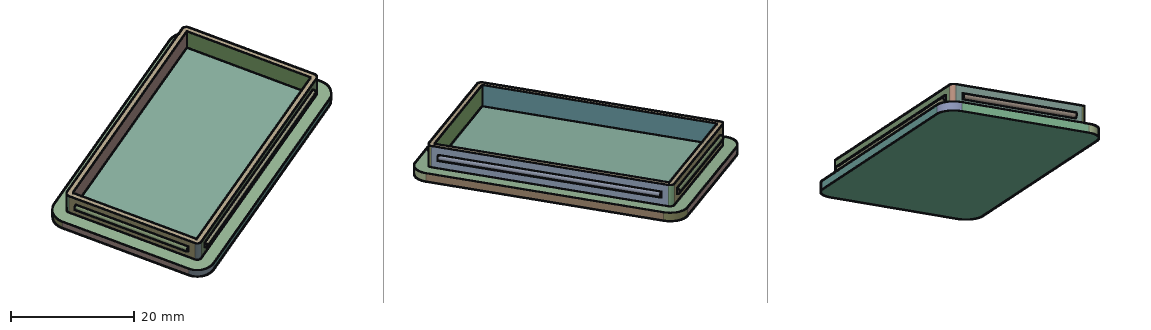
import cadquery as cq

flange_width = 29.1
flange_length = 47.1
flange_thickness = 1.55
flange_corner_radius = 3.0

total_height = 5.4
rim_width = 24.5
rim_length = 42.5
rim_corner_radius = 0.75
wall_thickness = 0.95

bead_radius = 0.5
bead_end_gap = 2.0

rim_height = total_height - flange_thickness
bead_height = flange_thickness + rim_height / 2


def rounded_plate(width, length, height, corner_radius, base):
    """Vertical-sided plate with rounded corners, standing at height `base`."""
    plate = cq.Workplane("XY").workplane(offset=base).rect(width, length).extrude(height)
    return plate.edges("|Z").fillet(corner_radius)


def bead_bar(plane, length, x, y):
    """Round bar of the given length centred on (x, y), along the normal of `plane`."""
    bar = cq.Workplane(plane, origin=(x, y, bead_height))
    return bar.circle(bead_radius).extrude(length / 2, both=True)


flange = rounded_plate(flange_width, flange_length, flange_thickness, flange_corner_radius, 0)
rim = rounded_plate(rim_width, rim_length, rim_height, rim_corner_radius, flange_thickness)
body = flange.union(rim)

for side in (-1, 1):
    body = body.union(bead_bar("XZ", rim_length - 2 * bead_end_gap, side * rim_width / 2, 0))
    body = body.union(bead_bar("YZ", rim_width - 2 * bead_end_gap, 0, side * rim_length / 2))

pocket = (
    cq.Workplane("XY")
    .workplane(offset=flange_thickness)
    .rect(rim_width - 2 * wall_thickness, rim_length - 2 * wall_thickness)
    .extrude(rim_height)
)

result = body.cut(pocket)